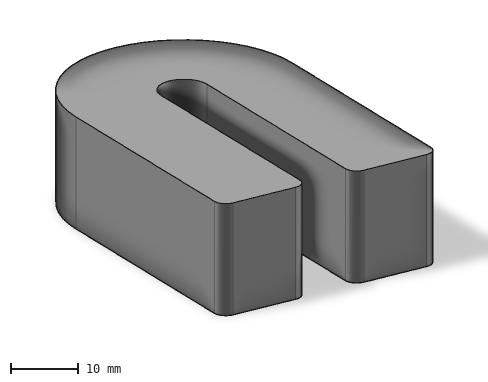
import cadquery as cq

length = 59.0
width = 38.0
thickness = 18.0
slot_width = 8.0
tip_radius = 2.0

outer_radius = width / 2
slot_radius = slot_width / 2
tip_x = length - outer_radius


def make_u_body():
    """U-shaped block: two straight arms joined by a concentric half ring."""
    return (
        cq.Workplane("XY")
        .moveTo(tip_x, outer_radius)
        .lineTo(0, outer_radius)
        .threePointArc((-outer_radius, 0), (0, -outer_radius))
        .lineTo(tip_x, -outer_radius)
        .lineTo(tip_x, -slot_radius)
        .lineTo(0, -slot_radius)
        .threePointArc((-slot_radius, 0), (0, slot_radius))
        .lineTo(tip_x, slot_radius)
        .close()
        .extrude(thickness)
    )


def round_arm_tips(body):
    """Round the four vertical edges at the open ends of the arms."""
    return body.faces(">X").edges("|Z").fillet(tip_radius)


result = round_arm_tips(make_u_body())